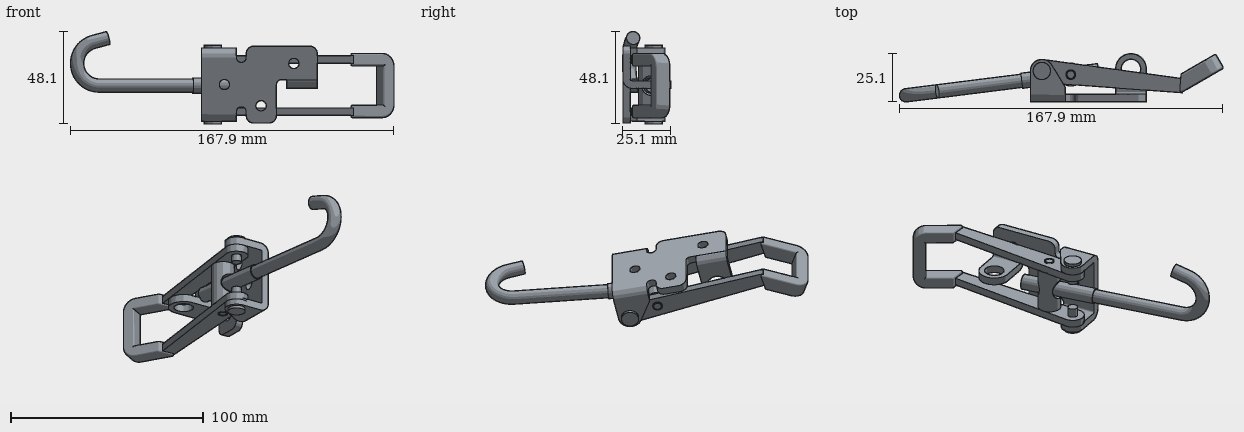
import cadquery as cq
import math


SHEET = 4.0
BEND_OUTER = 5.0
BEND_INNER = BEND_OUTER - SHEET
PLATE_BACK = -16.0
PLATE_FRONT = PLATE_BACK + SHEET
BEND_Y = PLATE_BACK + BEND_OUTER
BRACKET_HALF_WIDTH = 19.0
FLANGE_INNER = BRACKET_HALF_WIDTH - SHEET
BEND_Z = BRACKET_HALF_WIDTH - BEND_OUTER
NOSE_RADIUS = 6.0
FLANGE_END_X = 12.25
FLANGE_CORNER_Y = -8.5
PLATE_HALF_WIDTH = 20.0
PLATE_END_X = 54.2
LEG_END_X = 33.0
STEP_Z = 2.5
STEP_RADIUS = 2.5
PLATE_CORNER_RADIUS = 4.0
NOTCH_RADIUS = 2.5
NOTCH_X = FLANGE_END_X + NOTCH_RADIUS
MOUNT_HOLE_DIAMETER = 5.3
MOUNT_HOLES = [(6.0, 0.0), (25.0, -11.0), (42.0, 11.0)]
EYE_RADIUS = 8.0
EYE_HOLE_RADIUS = 5.0
EYE_X = PLATE_END_X - EYE_RADIUS
EYE_Y = 1.0
EYE_HALF_THICKNESS = SHEET / 2
EYE_BEND_Z = BEND_OUTER - EYE_HALF_THICKNESS

LEVER_WIDTH = 31.0
LEVER_TOP_Z = FLANGE_INNER
LEVER_BOTTOM_Z = LEVER_TOP_Z - LEVER_WIDTH
LEVER_MID_Z = (LEVER_TOP_Z + LEVER_BOTTOM_Z) / 2
ARM_THICKNESS = 4.0
ARM_GAP = LEVER_WIDTH - 2 * ARM_THICKNESS
ARM_END_X = 73.0
ARM_UPPER_ANGLE = 7.8
ARM_LOWER_ANGLE = 4.2
GRIP_MARGIN = 1.2
GRIP_ANGLE = 30.0
GRIP_HEIGHT = 8.5
GRIP_BAR = 6.6
GRIP_WIDTH = LEVER_WIDTH + 2 * GRIP_MARGIN
GRIP_START = (71.4, -11.8)
GRIP_END_X = 94.37
GRIP_LENGTH = (GRIP_END_X - GRIP_START[0]) / math.cos(math.radians(GRIP_ANGLE))
GRIP_FACE_ANGLE = 4.0
GRIP_CORNER_RADIUS = 7.0
GRIP_EDGE_RADIUS = 1.0

TRUNNION_X = 15.0
TRUNNION_Y = -1.9
TRUNNION_RADIUS = 6.0
JOURNAL_RADIUS = 2.5
JOURNAL_CHAMFER = 0.5
ROD_HOLE_CHAMFER = 1.1

ROD_RADIUS = 3.5
THREAD_RADIUS = 4.0
THREAD_AHEAD = 25.6
THREAD_BEHIND = 14.5
ROD_ANGLE = 7.15
HOOK_RADIUS = 11.5
HOOK_SWEEP = 165.0
HOOK_TIP = 8.0
HOOK_MIN_X = -73.85

PIN_HEAD_RADIUS = 4.5
PIN_HEAD_HEIGHT = 1.5
PIN_RADIUS = 2.5
PIN_INNER_Z = 7.3


def cylinder_z(x, y, radius, z_from, z_to):
    return cq.Workplane("XY", origin=(x, y, z_from)).circle(radius).extrude(z_to - z_from)


def block(x_range, y_range, z_range):
    (x0, x1), (y0, y1), (z0, z1) = x_range, y_range, z_range
    return cq.Workplane("XY").box(x1 - x0, y1 - y0, z1 - z0, centered=False).translate((x0, y0, z0))


def nose_point(angle):
    """Point on the nose circle at an angle in degrees from +X."""
    radians = math.radians(angle)
    return NOSE_RADIUS * math.cos(radians), NOSE_RADIUS * math.sin(radians)


def arm_profile(z_from, z_to):
    """One tapered arm: two straight edges tangent to the nose circle."""
    upper_x, upper_y = nose_point(90 - ARM_UPPER_ANGLE)
    lower_x, lower_y = nose_point(-90 - ARM_LOWER_ANGLE)
    upper_end_y = upper_y - (ARM_END_X - upper_x) * math.tan(math.radians(ARM_UPPER_ANGLE))
    lower_end_y = lower_y - (ARM_END_X - lower_x) * math.tan(math.radians(ARM_LOWER_ANGLE))
    return (
        cq.Workplane("XY", origin=(0, 0, z_from))
        .moveTo(lower_x, lower_y)
        .lineTo(ARM_END_X, lower_end_y)
        .lineTo(ARM_END_X, upper_end_y)
        .lineTo(upper_x, upper_y)
        .threePointArc((-NOSE_RADIUS, 0), (lower_x, lower_y))
        .close()
        .extrude(z_to - z_from)
    )


def make_grip():
    """U-shaped handle. Built lying along X from its lower start corner, then tilted into place."""
    lean = math.radians(GRIP_ANGLE + GRIP_FACE_ANGLE)
    grip = (
        cq.Workplane("XY", origin=(0, 0, -GRIP_WIDTH / 2))
        .moveTo(0, 0)
        .lineTo(GRIP_LENGTH, 0)
        .lineTo(GRIP_LENGTH, GRIP_HEIGHT)
        .lineTo(GRIP_HEIGHT * math.tan(lean), GRIP_HEIGHT)
        .close()
        .extrude(GRIP_WIDTH)
    )
    grip = grip.faces(">X").edges("|Y").fillet(GRIP_CORNER_RADIUS)
    window_half_width = GRIP_WIDTH / 2 - GRIP_BAR
    window = block(
        (-GRIP_LENGTH, GRIP_LENGTH - GRIP_BAR),
        (-GRIP_HEIGHT, 2 * GRIP_HEIGHT),
        (-window_half_width, window_half_width),
    )
    grip = grip.cut(window)
    grip = grip.faces("<X or <Y or >Y").edges().fillet(GRIP_EDGE_RADIUS)
    return grip.rotate((0, 0, 0), (0, 0, 1), GRIP_ANGLE).translate((*GRIP_START, LEVER_MID_Z))


def make_lever():
    lever = make_grip()
    for z_from in (LEVER_BOTTOM_Z, LEVER_TOP_Z - ARM_THICKNESS):
        lever = lever.union(arm_profile(z_from, z_from + ARM_THICKNESS))
    for x, y, radius in ((0, 0, PIN_RADIUS), (TRUNNION_X, TRUNNION_Y, JOURNAL_RADIUS)):
        lever = lever.cut(cylinder_z(x, y, radius, LEVER_BOTTOM_Z, LEVER_TOP_Z))
    return lever


def make_base_plate():
    """Flat plate with a leg at -Z, rounded corners and a step for the eye."""
    plate = (
        cq.Workplane("XZ", origin=(0, PLATE_BACK, 0))
        .moveTo(FLANGE_END_X, -PLATE_HALF_WIDTH)
        .lineTo(LEG_END_X, -PLATE_HALF_WIDTH)
        .lineTo(LEG_END_X, STEP_Z)
        .lineTo(PLATE_END_X, STEP_Z)
        .lineTo(PLATE_END_X, PLATE_HALF_WIDTH)
        .lineTo(FLANGE_END_X, PLATE_HALF_WIDTH)
        .close()
        .extrude(-SHEET)
    )
    for side in (1, -1):
        notch = block(
            (FLANGE_END_X, NOTCH_X + NOTCH_RADIUS),
            (PLATE_BACK, PLATE_FRONT),
            sorted((side * BEND_Z, side * PLATE_HALF_WIDTH)),
        )
        plate = plate.cut(notch)
    corner_x = NOTCH_X + NOTCH_RADIUS
    rounded_corners = [
        (corner_x, PLATE_HALF_WIDTH, PLATE_CORNER_RADIUS),
        (PLATE_END_X, PLATE_HALF_WIDTH, PLATE_CORNER_RADIUS),
        (corner_x, -PLATE_HALF_WIDTH, PLATE_CORNER_RADIUS),
        (LEG_END_X, -PLATE_HALF_WIDTH, PLATE_CORNER_RADIUS),
        (LEG_END_X, STEP_Z, STEP_RADIUS),
    ]
    for x, z, radius in rounded_corners:
        corner = cq.selectors.NearestToPointSelector((x, PLATE_BACK + SHEET / 2, z))
        plate = plate.edges("|Y").edges(corner).fillet(radius)
    return plate


def make_channel():
    """U-section holding the lever's nose, with both flanges trimmed to a rounded tapered outline."""
    channel = block(
        (-NOSE_RADIUS, FLANGE_END_X),
        (PLATE_BACK, NOSE_RADIUS),
        (-BRACKET_HALF_WIDTH, BRACKET_HALF_WIDTH),
    )
    channel = channel.faces("<Y").edges("|X").fillet(BEND_OUTER)
    inside = block(
        (-NOSE_RADIUS, FLANGE_END_X),
        (PLATE_FRONT, NOSE_RADIUS),
        (-FLANGE_INNER, FLANGE_INNER),
    )
    inside = inside.faces("<Y").edges("|X").fillet(BEND_INNER)
    corner_distance = math.hypot(FLANGE_END_X, FLANGE_CORNER_Y)
    tangent_angle = math.degrees(
        math.atan2(FLANGE_CORNER_Y, FLANGE_END_X) + math.acos(NOSE_RADIUS / corner_distance)
    )
    outline = (
        cq.Workplane("XY", origin=(0, 0, -BRACKET_HALF_WIDTH))
        .moveTo(-NOSE_RADIUS, PLATE_BACK)
        .lineTo(FLANGE_END_X, PLATE_BACK)
        .lineTo(FLANGE_END_X, FLANGE_CORNER_Y)
        .lineTo(*nose_point(tangent_angle))
        .threePointArc(nose_point(90), (-NOSE_RADIUS, 0))
        .close()
        .extrude(2 * BRACKET_HALF_WIDTH)
    )
    return channel.cut(inside).intersect(outline)


def make_eye():
    """Upright lug bent out of the plate's step edge, with a round hole."""
    strip = (
        cq.Workplane("YZ", origin=(EYE_X - EYE_RADIUS, 0, 0))
        .moveTo(PLATE_BACK, EYE_BEND_Z)
        .radiusArc((BEND_Y, -EYE_HALF_THICKNESS), -BEND_OUTER)
        .lineTo(EYE_Y, -EYE_HALF_THICKNESS)
        .lineTo(EYE_Y, EYE_HALF_THICKNESS)
        .lineTo(BEND_Y, EYE_HALF_THICKNESS)
        .radiusArc((PLATE_FRONT, EYE_BEND_Z), BEND_INNER)
        .close()
        .extrude(2 * EYE_RADIUS)
    )
    thickness = (-EYE_HALF_THICKNESS, EYE_HALF_THICKNESS)
    eye = strip.union(cylinder_z(EYE_X, EYE_Y, EYE_RADIUS, *thickness))
    return eye.cut(cylinder_z(EYE_X, EYE_Y, EYE_HOLE_RADIUS, *thickness))


def make_bracket():
    bracket = make_base_plate().union(make_channel())
    for side in (1, -1):
        notch_end = (
            cq.Workplane("XZ", origin=(NOTCH_X, PLATE_BACK, side * BEND_Z))
            .circle(NOTCH_RADIUS)
            .extrude(-SHEET)
        )
        bracket = bracket.cut(notch_end)
    bracket = bracket.union(make_eye())
    mount_holes = (
        cq.Workplane("XZ", origin=(0, PLATE_BACK, 0))
        .pushPoints(MOUNT_HOLES)
        .circle(MOUNT_HOLE_DIAMETER / 2)
        .extrude(-SHEET)
    )
    bracket = bracket.cut(mount_holes)
    bracket = bracket.cut(cylinder_z(0, 0, PIN_RADIUS, -BRACKET_HALF_WIDTH, BRACKET_HALF_WIDTH))
    return bracket.cut(arm_profile(LEVER_BOTTOM_Z, -FLANGE_INNER))


ROD_DIRECTION = cq.Vector(
    -math.cos(math.radians(ROD_ANGLE)), -math.sin(math.radians(ROD_ANGLE)), 0
)
TRUNNION_CENTER = cq.Vector(TRUNNION_X, TRUNNION_Y, LEVER_MID_Z)


def rod_plane(distance):
    """Plane across the rod; distances run from the trunnion centre toward the hook."""
    return cq.Plane(
        origin=(TRUNNION_CENTER + ROD_DIRECTION * distance).toTuple(),
        xDir=ROD_DIRECTION.cross(cq.Vector(0, 0, -1)).toTuple(),
        normal=ROD_DIRECTION.toTuple(),
    )


def rod_section(radius, distance_from, distance_to):
    return cq.Workplane(rod_plane(distance_from)).circle(radius).extrude(distance_to - distance_from)


def make_trunnion():
    """Cross barrel between the arms, with journals in the arms and a countersunk rod hole."""
    barrel_half = ARM_GAP / 2
    barrel = cylinder_z(
        TRUNNION_X, TRUNNION_Y, TRUNNION_RADIUS, LEVER_MID_Z - barrel_half, LEVER_MID_Z + barrel_half
    )
    barrel = barrel.cut(rod_section(THREAD_RADIUS, -2 * TRUNNION_RADIUS, 2 * TRUNNION_RADIUS))
    reach = THREAD_RADIUS + ROD_HOLE_CHAMFER
    near_hole = cq.selectors.BoxSelector(
        (TRUNNION_X - TRUNNION_RADIUS, TRUNNION_Y - TRUNNION_RADIUS, LEVER_MID_Z - reach),
        (TRUNNION_X + TRUNNION_RADIUS, TRUNNION_Y + TRUNNION_RADIUS, LEVER_MID_Z + reach),
    )
    barrel = barrel.edges(near_hole).edges("not |Z").chamfer(ROD_HOLE_CHAMFER)
    journal = cylinder_z(TRUNNION_X, TRUNNION_Y, JOURNAL_RADIUS, LEVER_BOTTOM_Z, LEVER_TOP_Z)
    journal = journal.faces("<Z or >Z").edges().chamfer(JOURNAL_CHAMFER)
    journal = journal.cut(rod_section(THREAD_RADIUS, -2 * TRUNNION_RADIUS, 2 * TRUNNION_RADIUS))
    return barrel.union(journal)


def make_hook():
    tilt = math.radians(ROD_ANGLE)
    bend_start_x = HOOK_MIN_X + ROD_RADIUS + HOOK_RADIUS * math.cos(tilt)
    bend_distance = (TRUNNION_X - bend_start_x) / math.cos(tilt)
    bend_start = TRUNNION_CENTER + ROD_DIRECTION * bend_distance
    hook_plane = cq.Plane(
        origin=bend_start.toTuple(),
        xDir=(-ROD_DIRECTION).toTuple(),
        normal=ROD_DIRECTION.cross(cq.Vector(0, 0, -1)).toTuple(),
    )

    def bend_point(turned):
        radians = math.radians(turned)
        return -HOOK_RADIUS * math.sin(radians), HOOK_RADIUS * (1 - math.cos(radians))

    bend_end = bend_point(HOOK_SWEEP)
    tip_angle = math.radians(180 - HOOK_SWEEP)
    tip = (
        bend_end[0] + HOOK_TIP * math.cos(tip_angle),
        bend_end[1] + HOOK_TIP * math.sin(tip_angle),
    )
    path = (
        cq.Workplane(hook_plane)
        .moveTo(bend_distance - THREAD_AHEAD, 0)
        .lineTo(0, 0)
        .threePointArc(bend_point(HOOK_SWEEP / 2), bend_end)
        .lineTo(*tip)
    )
    rod = cq.Workplane(rod_plane(THREAD_AHEAD)).circle(ROD_RADIUS).sweep(path)
    return rod.union(rod_section(THREAD_RADIUS, -THREAD_BEHIND, THREAD_AHEAD))


def make_pivot_pin(side):
    """Short rivet through one flange and one arm; side is +1 or -1 along Z."""
    head_z = BRACKET_HALF_WIDTH + PIN_HEAD_HEIGHT
    shank = cylinder_z(0, 0, PIN_RADIUS, side * PIN_INNER_Z, side * head_z)
    head = cylinder_z(0, 0, PIN_HEAD_RADIUS, side * BRACKET_HALF_WIDTH, side * head_z)
    return shank.union(head)


bracket = make_bracket()
lever = make_lever()
trunnion = make_trunnion()
hook = make_hook()
pivot_pins = [make_pivot_pin(side) for side in (1, -1)]

bodies = [bracket, lever, trunnion, hook, *pivot_pins]
result = cq.Compound.makeCompound([body.solids().val() for body in bodies])